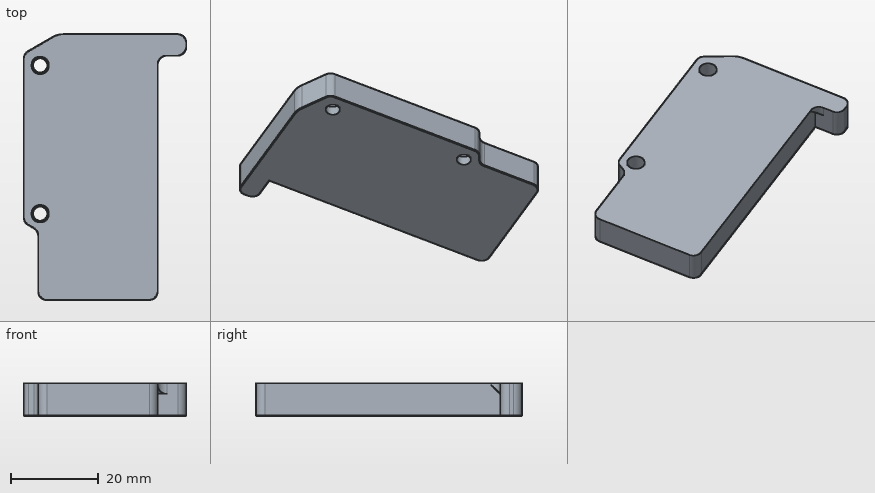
import cadquery as cq
import math

length = 60.65
thickness = 7.5
body_width = 30.55
overall_width = 37.05
bottom_chamfer = 0.2

arm_depth = 5.0
notch_width = 3.3
notch_top = 17.7
corner_drop = 4.5
slope = math.tan(math.radians(30))
corner_radius = 2.0
top_corner_radius = 5.0

hole_x = 3.75
hole_ys = (19.7, 53.5)
hole_diameter = 3.2
bore_diameter = 4.0
bore_depth = 5.0

web_depth = 2.5

arm_y = length - arm_depth
corner_run = corner_drop / slope


def round_vertical_edge(body, x, y, radius):
    """Fillet the vertical edge standing at (x, y)."""
    tolerance = 0.005
    selector = cq.selectors.BoxSelector(
        (x - tolerance, y - tolerance, -tolerance),
        (x + tolerance, y + tolerance, thickness + tolerance),
    )
    return body.edges("|Z").edges(selector).fillet(radius)


def make_plate():
    """Plate with rounded corners and a chamfered bottom rim."""
    rounded_corners = [
        (notch_width, 0),
        (body_width, 0),
        (overall_width, arm_y),
        (overall_width, length),
        (0, length - corner_drop),
        (0, notch_top),
        (notch_width, notch_top - notch_width * slope),
    ]
    top_corner = (corner_run, length)
    outline = rounded_corners[:2] + [(body_width, arm_y)] + rounded_corners[2:4]
    outline += [top_corner] + rounded_corners[4:]
    plate = cq.Workplane("XY").polyline(outline).close().extrude(thickness)
    for x, y in rounded_corners:
        plate = round_vertical_edge(plate, x, y, corner_radius)
    plate = round_vertical_edge(plate, *top_corner, top_corner_radius)
    return plate.faces("<Z").edges().chamfer(bottom_chamfer)


def make_arm_web():
    """Concave corner web whose underside rises at 45 degrees away from the arm."""
    tip_y = arm_y - corner_radius
    end_x = body_width + corner_radius
    mid_offset = corner_radius * (1 - math.sqrt(0.5))
    base = thickness - web_depth
    web = (
        cq.Workplane("XY", origin=(0, 0, base))
        .moveTo(body_width, arm_y)
        .lineTo(body_width, tip_y)
        .threePointArc((body_width + mid_offset, arm_y - mid_offset), (end_x, arm_y))
        .close()
        .extrude(web_depth)
    )
    underside_cut = (
        cq.Workplane("YZ", origin=(body_width, 0, 0))
        .polyline([(arm_y, base), (tip_y, base), (tip_y, base + corner_radius)])
        .close()
        .extrude(corner_radius)
    )
    return web.cut(underside_cut)


def make_holes():
    """Through holes with a wider bore from the top."""
    centers = [(hole_x, y) for y in hole_ys]
    through = cq.Workplane("XY").pushPoints(centers).circle(hole_diameter / 2).extrude(thickness)
    bores = (
        cq.Workplane("XY", origin=(0, 0, thickness - bore_depth))
        .pushPoints(centers)
        .circle(bore_diameter / 2)
        .extrude(bore_depth)
    )
    return through.union(bores)


result = make_plate().union(make_arm_web()).cut(make_holes())